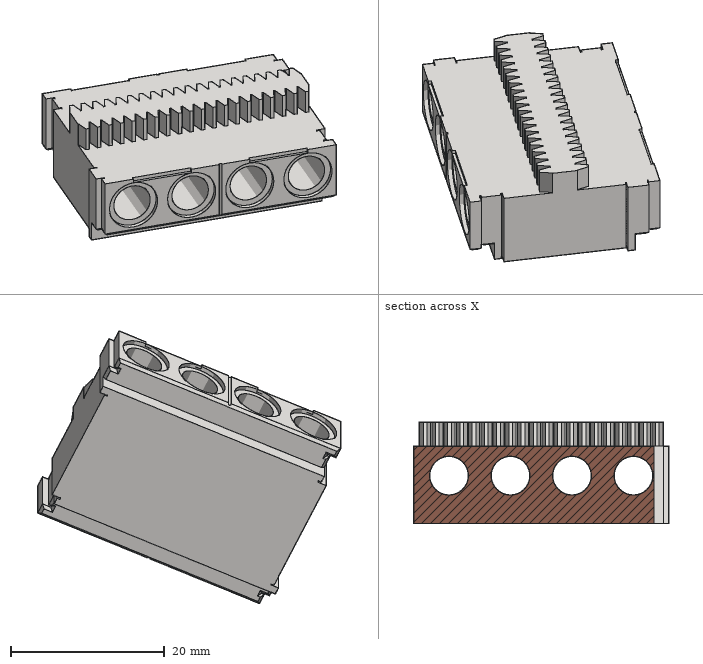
import cadquery as cq
body_width = 25.2
body_length = 31.8
body_height = 10.1
wing_height = 7.9
core_width = 18.4
wing_chamfer = 0.4

joint_offset = 9.6
recess_width = 3.0
tab_width = 2.8
tab_projection = 0.7
tab_recess_depth = 0.4
slot_block_width = 2.6
slot_depth = 0.8
slot_recess_depth = 1.2

tooth_count = 20
tooth_pitch = body_length / tooth_count
rack_height = 3.1
rack_width = 6.5
tooth_depth = 1.6
tooth_tip = 0.48
tooth_gap = 0.16

hole_count = 4
hole_pitch = 8.0
hole_drop = 3.85
hole_diameter = 5.0
counterbore_diameter = 6.6
counterbore_depth = 0.6

groove_length = 8.0
groove_depth = 0.4
groove_height = 0.5
groove_offset = 8.0
notch_radius = 0.2

half_width = body_width / 2
half_length = body_length / 2
wing_bottom = body_height - wing_height
hole_height = body_height - hole_drop


def centred_box(size_x, size_y, bottom, top, x=0, y=0):
    """Box centred on (x, y) that spans the given heights."""
    box = cq.Workplane("XY").box(size_x, size_y, top - bottom, centered=(True, True, False))
    return box.translate((x, y, bottom))


def end_joint(block_width, recess_depth, block_end, x, bottom):
    """Recess cutter and block for the +Y end; block_end is measured from the end face."""
    recess = centred_box(recess_width, 2 * recess_depth, bottom, body_height, x, half_length)
    block_length = recess_depth + block_end
    block_y = half_length - recess_depth + block_length / 2
    block = centred_box(block_width, block_length, bottom, body_height, x, block_y)
    return recess, block


def add_end_joints(solid, bottom):
    """Cut a tab and a slot into each end; the two ends match by a half turn about Z."""
    tab = end_joint(tab_width, tab_recess_depth, tab_projection, -joint_offset, bottom)
    slot = end_joint(slot_block_width, slot_recess_depth, -slot_depth, joint_offset, bottom)
    for turn in (0, 180):
        for recess, block in (tab, slot):
            solid = solid.cut(recess.rotate((0, 0, 0), (0, 0, 1), turn))
            solid = solid.union(block.rotate((0, 0, 0), (0, 0, 1), turn))
    return solid


def make_body():
    """Chamfered wing slab joined to the full-height core, both with the end joints."""
    slab = add_end_joints(centred_box(body_width, body_length, wing_bottom, body_height), wing_bottom)
    slab = slab.faces("<Z").edges().chamfer(wing_chamfer)
    full = add_end_joints(centred_box(body_width, body_length, 0, body_height), 0)
    envelope_length = body_length + 2 * tab_projection
    core = full.intersect(centred_box(core_width, envelope_length, 0, body_height))
    return slab.union(core)


def make_rack():
    """Bar with trapezoidal teeth on both sides and half a root gap at each end."""
    flank = (tooth_pitch - tooth_tip - tooth_gap) / 2
    tip_x = rack_width / 2
    root_x = tip_x - tooth_depth
    edge = [(root_x, -half_length)]
    for index in range(tooth_count):
        start = -half_length + tooth_gap / 2 + index * tooth_pitch
        edge += [
            (root_x, start),
            (tip_x, start + flank),
            (tip_x, start + flank + tooth_tip),
            (root_x, start + tooth_pitch - tooth_gap),
        ]
    edge.append((root_x, half_length))
    mirrored = [(-x, y) for x, y in reversed(edge)]
    rack = cq.Workplane("XY").workplane(offset=body_height).polyline(edge + mirrored).close()
    return rack.extrude(rack_height)


def cut_cross_holes(solid):
    """Through holes along X with a counterbore at both side faces."""
    first_y = -hole_pitch * (hole_count - 1) / 2
    centres = [(first_y + index * hole_pitch, hole_height) for index in range(hole_count)]
    left_face = cq.Workplane("YZ").workplane(offset=-half_width).pushPoints(centres)
    right_face = cq.Workplane("YZ").workplane(offset=half_width).pushPoints(centres)
    solid = solid.cut(left_face.circle(hole_diameter / 2).extrude(body_width))
    solid = solid.cut(left_face.circle(counterbore_diameter / 2).extrude(counterbore_depth))
    return solid.cut(right_face.circle(counterbore_diameter / 2).extrude(-counterbore_depth))


def cut_side_details(solid):
    """Top-edge grooves and a half-round middle notch over the wing height in both side faces."""
    groove_bottom = body_height - groove_height
    for face_x in (-half_width, half_width):
        for y in (-groove_offset, groove_offset):
            groove = centred_box(2 * groove_depth, groove_length, groove_bottom, body_height, face_x, y)
            solid = solid.cut(groove)
        notch_sketch = cq.Workplane("XY").workplane(offset=wing_bottom).center(face_x, 0)
        notch = notch_sketch.circle(notch_radius).extrude(wing_height)
        solid = solid.cut(notch)
    return solid


body = cut_side_details(cut_cross_holes(make_body()))
result = body.union(make_rack())